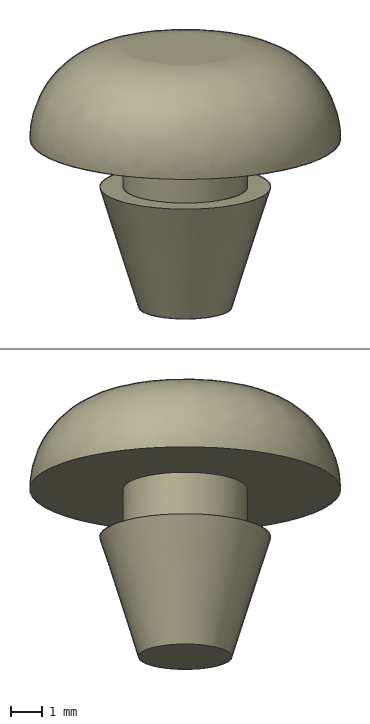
import cadquery as cq
import math

head_diameter = 10.0
head_height = 3.0
neck_diameter = 4.0
neck_height = 1.6
plug_top_diameter = 5.5
plug_tip_diameter = 3.0
plug_height = 4.0

head_radius = head_diameter / 2
neck_radius = neck_diameter / 2
plug_top_radius = plug_top_diameter / 2
plug_tip_radius = plug_tip_diameter / 2

edge_radius = head_height
flat_radius = head_radius - edge_radius
edge_mid_offset = edge_radius * math.sin(math.radians(45))
edge_mid_point = (flat_radius + edge_mid_offset, edge_mid_offset)

plug_top_z = -neck_height
plug_tip_z = plug_top_z - plug_height

half_section = (
    cq.Workplane("XZ")
    .moveTo(0, plug_tip_z)
    .lineTo(plug_tip_radius, plug_tip_z)
    .lineTo(plug_top_radius, plug_top_z)
    .lineTo(neck_radius, plug_top_z)
    .lineTo(neck_radius, 0)
    .lineTo(head_radius, 0)
    .threePointArc(edge_mid_point, (flat_radius, head_height))
    .lineTo(0, head_height)
    .close()
)

result = half_section.revolve(360, (0, 0, 0), (0, 1, 0))